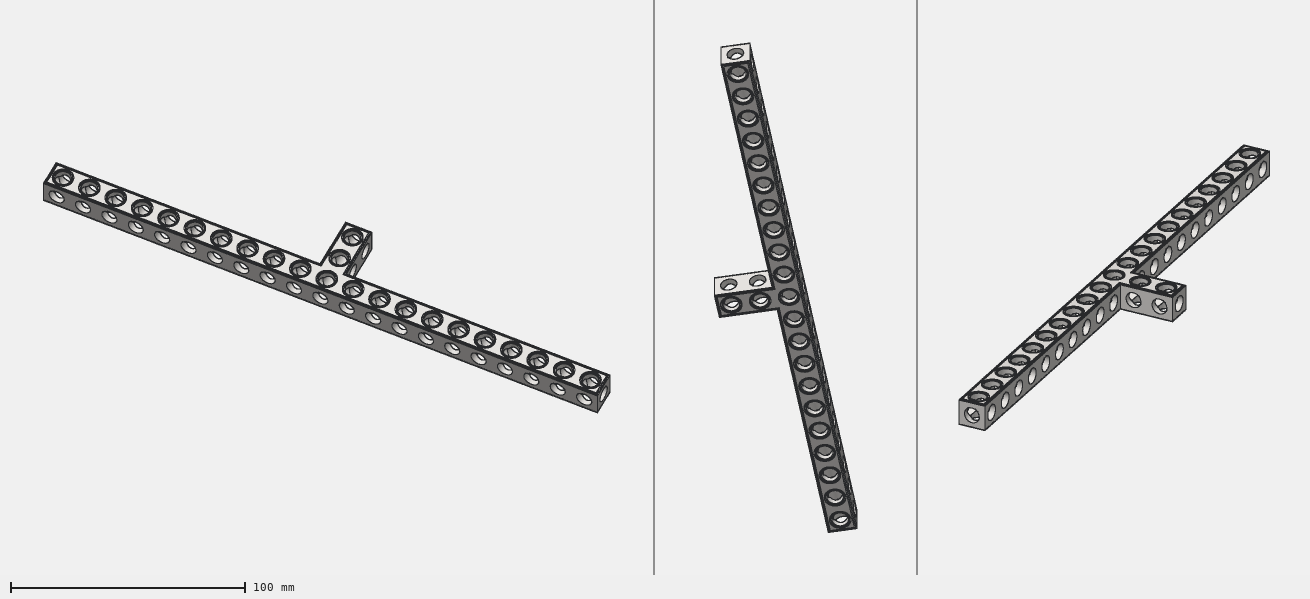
import cadquery as cq


bar_length = 262.5
bar_cells = 21
stem_cells = 2
hole_diameter = 7.0

step_count = 2
step_width = 0.5
step_height = 0.197

pitch = bar_length / bar_cells
half_pitch = pitch / 2
total_depth = pitch * (1 + stem_cells)
stem_x = bar_length / 2
bar_centers_x = [(cell + 0.5) * pitch for cell in range(bar_cells)]
row_centers_y = [(row + 0.5) * pitch for row in range(1 + stem_cells)]
cell_centers = [(x, half_pitch) for x in bar_centers_x] + [(stem_x, y) for y in row_centers_y[1:]]


def block(x, y, z, size_x, size_y, size_z):
    """A box with its lowest corner at (x, y, z)."""
    return cq.Workplane("XY").box(size_x, size_y, size_z, centered=False).translate((x, y, z))


def tee(inset, z, height):
    """The T outline, pulled in by inset all around, as a plate from z upward."""
    bar = block(inset, inset, z, bar_length - 2 * inset, pitch - 2 * inset, height)
    stem = block(
        stem_x - half_pitch + inset, inset, z, pitch - 2 * inset, total_depth - 2 * inset, height
    )
    return bar.union(stem).clean()


def vertical_cylinders(diameter, z, height):
    """One upright cylinder in every cell."""
    plane = cq.Workplane("XY").workplane(offset=z)
    return plane.pushPoints(cell_centers).circle(diameter / 2).extrude(height)


def cut_steps(body):
    """Step the outer edges and the vertical hole mouths, on the bottom and the top."""
    for step in range(step_count):
        inset = step_width * (step_count - step)
        bottom_z = step_height * step
        top_z = pitch - step_height * (step + 1)
        for z in (bottom_z, top_z):
            edge_ring = tee(0, z, step_height).cut(tee(inset, z, step_height))
            mouths = vertical_cylinders(hole_diameter + 2 * inset, z, step_height)
            body = body.cut(edge_ring).cut(mouths)
    return body


def cut_holes(body):
    """Drill every cell along Z, every bar cell along Y and every row along X."""
    radius = hole_diameter / 2
    along_y = cq.Workplane("XZ").pushPoints([(x, half_pitch) for x in bar_centers_x])
    along_x = cq.Workplane("YZ").pushPoints([(y, half_pitch) for y in row_centers_y])
    body = body.cut(vertical_cylinders(hole_diameter, 0, pitch))
    body = body.cut(along_y.circle(radius).extrude(-total_depth))
    return body.cut(along_x.circle(radius).extrude(bar_length))


result = cut_holes(cut_steps(tee(0, 0, pitch)))